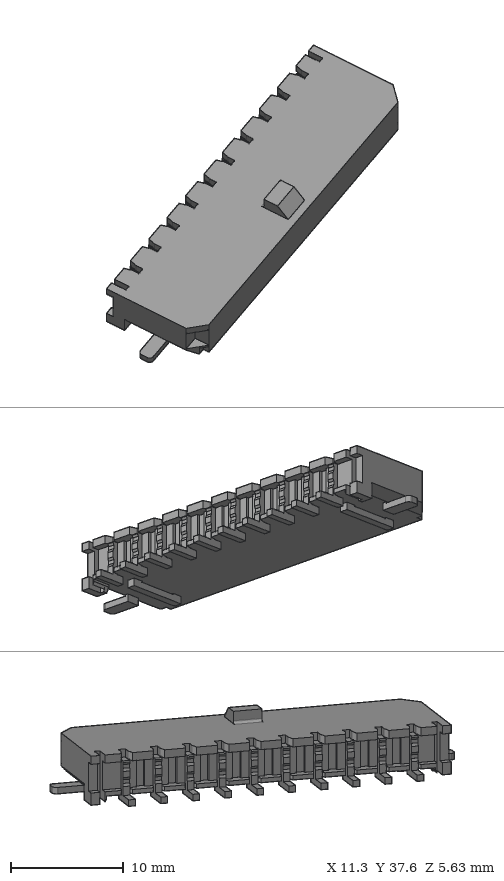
import cadquery as cq


housing_depth = 9.9
housing_length = 33.75
housing_bottom = 0.7
housing_top = 4.5
mating_corner_chamfer = 1.45
bottom_end_chamfer = 0.8

notch_bottom = 1.7
notch_top = 3.75
lower_notch_width = 0.6
lower_notch_top = 1.45

leg_depth = 1.92
leg_width = 1.45
leg_chamfer_width = 0.25
leg_chamfer_height = 0.5
slot_depth = 1.5
slot_width = 0.5
end_wall = 0.83

recess_depth = 0.7
recess_bottom = 1.13
recess_top = 3.75
groove_width = 0.8
groove_depth = 0.3

pin_count = 10
pin_row_length = 27.0
pin_pitch = pin_row_length / (pin_count - 1)
pin_width = 0.65
pin_face = 0.1
pin_bevel = 0.1
pin_embed = 1.43
tail_reach = 1.43
tail_height = 0.6
barb_depth = 0.1
barb_top_slope = 0.23
barb_valley = 0.35
barb_low_slope = 0.25
barb_pitch = 1.4
barb_count = 2
mouth_width = 1.05

latch_start = 6.6
latch_flat = 1.43
latch_height = 1.13
latch_width = 2.67
latch_fillet = 0.25

underside_middle = 5.3
rib_length = 6.02
rib_inner = 12.65
rib_width = 0.8
rib_relief_length = 3.95
rib_relief_depth = 0.1
tab_thickness = 0.6
tab_width = 1.35
tab_tip = 18.82
tab_root = 15.65
tab_post = 0.35
tab_corner_radius = 0.8 / 2

half_length = housing_length / 2
pin_places = [(i - (pin_count - 1) / 2) * pin_pitch for i in range(pin_count)]


def block(x, y, z):
    """Box from its (low, high) limits along each axis."""
    size = (x[1] - x[0], y[1] - y[0], z[1] - z[0])
    return cq.Workplane("XY").box(*size, centered=False).translate((x[0], y[0], z[0]))


def mid_block(x, width, z, y=0):
    """Box centred on a Y position."""
    return block(x, (y - width / 2, y + width / 2), z)


def both_ends(shape):
    """A shape at the +Y end together with its mirror image at the -Y end."""
    return shape.union(shape.mirror("XZ"))


def make_shell():
    """Housing block with cut mating corners and bevelled lower ends."""
    shell = mid_block((0, housing_depth), housing_length, (housing_bottom, housing_top))
    shell = shell.edges("|Z and >X").chamfer(mating_corner_chamfer)
    wedge = (
        cq.Workplane("YZ")
        .polyline([
            (half_length, housing_bottom),
            (half_length, housing_bottom + bottom_end_chamfer),
            (half_length - bottom_end_chamfer, housing_bottom),
        ])
        .close()
        .extrude(housing_depth)
    )
    return shell.cut(both_ends(wedge))


def make_leg():
    """Leg carrying the pin-row side of the housing end down to the board."""
    inner = half_length - leg_width
    return (
        cq.Workplane("YZ")
        .polyline([
            (half_length, 0),
            (inner + leg_chamfer_width, 0),
            (inner, leg_chamfer_height),
            (inner, recess_bottom),
            (half_length, housing_bottom + bottom_end_chamfer),
        ])
        .close()
        .extrude(leg_depth)
    )


def make_slot():
    """Slot through the full height beside the end wall."""
    outer = half_length - end_wall
    return block((0, slot_depth), (outer - slot_width, outer), (0, housing_top))


def make_corner_notches():
    """Upper and lower steps cut into a mating-side corner."""
    y_limits = (half_length - mating_corner_chamfer, half_length)
    upper_x = (housing_depth - mating_corner_chamfer, housing_depth)
    upper = block(upper_x, y_limits, (notch_bottom, notch_top))
    lower_x = (housing_depth - lower_notch_width, housing_depth)
    lower = block(lower_x, y_limits, (housing_bottom, lower_notch_top))
    return upper.union(lower)


def make_recess():
    """Recess along the pin row, with a deeper groove between each pair of pins."""
    heights = (recess_bottom, recess_top)
    recess = mid_block((0, recess_depth), housing_length, heights)
    for y in pin_places[:-1]:
        between_pins = y + pin_pitch / 2
        groove = mid_block((0, recess_depth + groove_depth), groove_width, heights, between_pins)
        recess = recess.union(groove)
    return recess


def make_pin_opening(y):
    """Tapered mouth through both lips, and a straight slot above the pin."""
    mouth = (
        cq.Workplane("XY", origin=(0, y, housing_bottom))
        .polyline([
            (0, -mouth_width / 2),
            (recess_depth, -pin_width / 2),
            (recess_depth, pin_width / 2),
            (0, mouth_width / 2),
        ])
        .close()
        .extrude(housing_top - housing_bottom)
    )
    return mouth.union(mid_block((0, pin_embed), pin_width, (recess_top, housing_top), y))


def make_pin(y):
    """Upright pin with a barbed face and a tail lying on the board."""
    barb_edge = recess_top - pin_bevel
    points = [(pin_embed, 0), (pin_embed, recess_top), (pin_face + pin_bevel, recess_top)]
    for i in range(barb_count):
        top = barb_edge - i * barb_pitch
        valley_top = top - barb_top_slope
        valley_bottom = valley_top - barb_valley
        points += [
            (pin_face, top),
            (pin_face + barb_depth, valley_top),
            (pin_face + barb_depth, valley_bottom),
            (pin_face, valley_bottom - barb_low_slope),
        ]
    points += [(pin_face, tail_height), (-tail_reach, tail_height), (-tail_reach, 0)]
    profile = cq.Workplane("XZ", origin=(0, y, 0)).polyline(points).close()
    return profile.extrude(pin_width / 2, both=True)


def make_latch():
    """Latch ramp on the top face, with a fillet at the foot of its upright side."""
    top = housing_top + latch_height
    ramp_start = latch_start + latch_flat
    outline = (
        cq.Workplane("XZ")
        .moveTo(latch_start - latch_fillet, housing_top)
        .radiusArc((latch_start, housing_top + latch_fillet), -latch_fillet)
        .lineTo(latch_start, top)
        .lineTo(ramp_start, top)
        .lineTo(ramp_start + latch_height, housing_top)
        .close()
    )
    return outline.extrude(latch_width / 2, both=True)


def underside_limits(length):
    """X limits of a length centred on the nails and ribs."""
    return (underside_middle - length / 2, underside_middle + length / 2)


def make_rib():
    """Standoff rib under the housing, relieved along the middle of its top edge."""
    y_limits = (rib_inner, rib_inner + rib_width)
    rib = block(underside_limits(rib_length), y_limits, (0, housing_bottom))
    relief_heights = (housing_bottom - rib_relief_depth, housing_bottom)
    return rib.cut(block(underside_limits(rib_relief_length), y_limits, relief_heights))


def make_nail():
    """Solder tab reaching past the housing end, with a short post into the housing."""
    x_limits = underside_limits(tab_width)
    tab = block(x_limits, (tab_root, tab_tip), (0, tab_thickness))
    tab = tab.edges("|Z and >Y").fillet(tab_corner_radius)
    return tab.union(block(x_limits, (tab_root, tab_root + tab_post), (0, housing_bottom)))


housing = make_shell().union(both_ends(make_leg())).cut(both_ends(make_slot()))
housing = housing.cut(both_ends(make_corner_notches())).cut(make_recess())
for place in pin_places:
    housing = housing.cut(make_pin_opening(place)).union(make_pin(place))
result = housing.union(make_latch()).union(both_ends(make_rib())).union(both_ends(make_nail()))